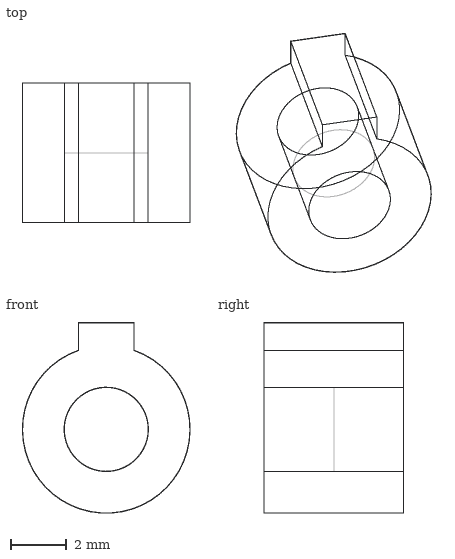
import cadquery as cq

total_height = 6.82
body_diameter = 6.0
bore_diameter = body_diameter / 2
length = 5.0
key_width = 2.0

key_top = total_height - body_diameter / 2

body = cq.Workplane("XZ").circle(body_diameter / 2).extrude(length / 2, both=True)

key = cq.Workplane("XY").box(key_width, length, key_top, centered=(True, True, False))

bore = cq.Workplane("XZ").circle(bore_diameter / 2).extrude(length / 2, both=True)

result = body.union(key).cut(bore)